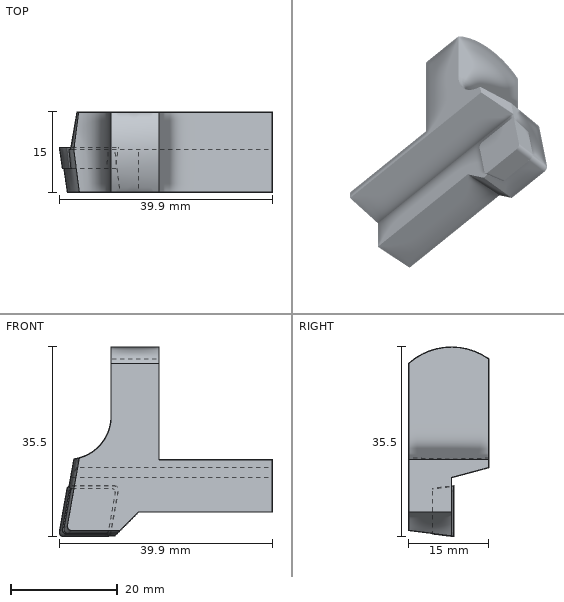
import cadquery as cq
import math


RELIEF_ANGLE = 7.0
LEAD_ANGLE = 10.0
CORNER_RADIUS = 0.8
LEAD_TAN = math.tan(math.radians(LEAD_ANGLE))

BODY_WIDTH = 15.0
CENTRE_Y = 8.0
TOTAL_LENGTH = 39.85
TOTAL_HEIGHT = 35.48
STEM_LEFT = 9.66
STEM_WIDTH = 9.0
STEM_RIGHT = STEM_LEFT + STEM_WIDTH
STEM_TOP_RADIUS = 12.0
SHANK_TOP = 14.42
SHANK_BOTTOM = 4.58
CHAMFER_START_X = 14.8
THROAT_RADIUS = 8.0
THROAT_CENTRE_Z = 22.46

NOSE_X = 0.18
NOSE_Z = 0.15
RELIEF_SPAN = 60.0

CHIP_ROOF_Z = 11.02
CHIP_ROOF_ANGLE = 15.0

INSERT_HEIGHT = 9.525
INSERT_THICKNESS = 3.97
INSERT_TOP_Y = 8.42


def rhombus(corner_x, corner_z, height):
    """Corners of an 80 degree rhombus with one edge along X and one leaning by LEAD_ANGLE."""
    edge = height / math.cos(math.radians(LEAD_ANGLE))
    shift = height * LEAD_TAN
    return [
        (corner_x, corner_z),
        (corner_x + edge, corner_z),
        (corner_x + edge + shift, corner_z + height),
        (corner_x + shift, corner_z + height),
    ]


def tapered_block(corners, face_y, depth):
    """Block shrinking by RELIEF_ANGLE from face_y; a negative depth runs toward +Y."""
    plane = cq.Workplane("XZ", origin=(0, face_y, 0))
    return plane.polyline(corners).close().extrude(depth, taper=RELIEF_ANGLE)


def make_insert():
    tip_half_angle = math.radians((90 - LEAD_ANGLE) / 2)
    sharp_tip_x = CORNER_RADIUS - CORNER_RADIUS / math.tan(tip_half_angle)
    block = tapered_block(rhombus(sharp_tip_x, 0, INSERT_HEIGHT), INSERT_TOP_Y, INSERT_THICKNESS)
    return block.edges("not #Y").fillet(CORNER_RADIUS)


def make_blank():
    """T-shaped holder outline through the full width, with the concave throat."""
    throat_centre_x = STEM_LEFT - THROAT_RADIUS
    throat_bottom_z = THROAT_CENTRE_Z - THROAT_RADIUS
    diagonal = THROAT_RADIUS * math.sqrt(0.5)
    chamfer_end_x = CHAMFER_START_X - SHANK_BOTTOM
    return (
        cq.Workplane("XZ")
        .moveTo(0, 0)
        .lineTo(chamfer_end_x, 0)
        .lineTo(CHAMFER_START_X, SHANK_BOTTOM)
        .lineTo(TOTAL_LENGTH, SHANK_BOTTOM)
        .lineTo(TOTAL_LENGTH, SHANK_TOP)
        .lineTo(STEM_RIGHT, SHANK_TOP)
        .lineTo(STEM_RIGHT, TOTAL_HEIGHT)
        .lineTo(STEM_LEFT, TOTAL_HEIGHT)
        .lineTo(STEM_LEFT, THROAT_CENTRE_Z)
        .threePointArc(
            (throat_centre_x + diagonal, THROAT_CENTRE_Z - diagonal),
            (throat_centre_x, throat_bottom_z),
        )
        .lineTo(0, throat_bottom_z)
        .close()
        .extrude(-BODY_WIDTH)
    )


def make_relief_envelope():
    """Double-tapered envelope that gives the nose its relief faces and rounded corner."""
    corners = rhombus(NOSE_X, NOSE_Z, RELIEF_SPAN)
    front = tapered_block(corners, CENTRE_Y, CENTRE_Y)
    front_nose = cq.selectors.NearestToPointSelector((NOSE_X, CENTRE_Y / 2, NOSE_Z))
    front = front.edges(front_nose).fillet(CORNER_RADIUS)
    back = tapered_block(corners, CENTRE_Y, CENTRE_Y - BODY_WIDTH)
    return front.union(back)


def make_stem_top():
    """Cylinder along X rounding the top of the stem, carried down as a full-width block."""
    centre_z = TOTAL_HEIGHT - STEM_TOP_RADIUS
    cylinder = (
        cq.Workplane("YZ")
        .center(CENTRE_Y, centre_z)
        .circle(STEM_TOP_RADIUS)
        .extrude(TOTAL_LENGTH)
    )
    lower = cq.Workplane("XY").box(TOTAL_LENGTH, BODY_WIDTH, centre_z, centered=False)
    return cylinder.union(lower)


def make_chip_clearance():
    """Space on the +Y side of the crest plane, under a sloping roof, running the full length."""
    roof_end_z = CHIP_ROOF_Z + (BODY_WIDTH - CENTRE_Y) * math.tan(math.radians(CHIP_ROOF_ANGLE))
    return (
        cq.Workplane("YZ")
        .polyline([
            (CENTRE_Y, 0),
            (BODY_WIDTH, 0),
            (BODY_WIDTH, roof_end_z),
            (CENTRE_Y, CHIP_ROOF_Z),
        ])
        .close()
        .extrude(TOTAL_LENGTH)
    )


def make_holder(insert):
    holder = make_blank().intersect(make_relief_envelope()).intersect(make_stem_top())
    return holder.cut(make_chip_clearance()).cut(insert)


insert = make_insert()
holder = make_holder(insert)

result = cq.Compound.makeCompound([holder.val(), insert.val()])